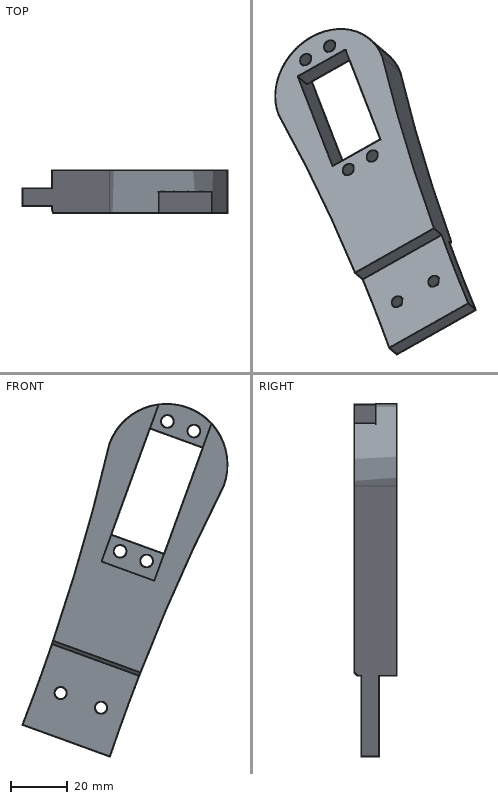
import cadquery as cq

TILT = 20.0
THICKNESS = 15.24

FOOT_WIDTH = 33.02
TENON_LENGTH = 30.48
TENON_THICKNESS = 6.35
FRONT_STEP = 2.54
SHOULDER_CHAMFER = 1.27
TENON_HOLE_DIAMETER = 4.2
TENON_HOLE_SPACING = 15.24
TENON_HOLE_HEIGHT = TENON_LENGTH / 2

HEAD_RADIUS = 21.63
HEAD_HEIGHT = 104.12
FLARE_BOW = 1.85

SERVO_WIDTH = 19.9
RECESS_BOTTOM = 64.0
RECESS_DEPTH = 7.62
WINDOW_LENGTH = 40.0
WINDOW_BOTTOM = 74.15
SERVO_HOLE_DIAMETER = 4.4
SERVO_HOLE_SPACING_ACROSS = 10.0
SERVO_HOLE_SPACING_ALONG = 49.0

FOOT_HALF_WIDTH = FOOT_WIDTH / 2
HEAD_TOP = HEAD_HEIGHT + HEAD_RADIUS
FLARE_MIDDLE_X = (FOOT_HALF_WIDTH + HEAD_RADIUS) / 2 - FLARE_BOW
FLARE_MIDDLE_Z = HEAD_HEIGHT / 2
CUT_WIDTH = 2 * HEAD_RADIUS
WINDOW_CENTER = WINDOW_BOTTOM + WINDOW_LENGTH / 2


def box(width, y_front, depth, z_bottom, height):
    """Block centred on the arm's width, from its front and bottom faces."""
    block = cq.Workplane("XY").box(width, depth, height, centered=(True, False, False))
    return block.translate((0, y_front, z_bottom))


def make_blank():
    """Full-thickness plate: flat foot, concave flaring sides and a round head."""
    return (
        cq.Workplane("XZ")
        .moveTo(-FOOT_HALF_WIDTH, 0)
        .lineTo(FOOT_HALF_WIDTH, 0)
        .threePointArc((FLARE_MIDDLE_X, FLARE_MIDDLE_Z), (HEAD_RADIUS, HEAD_HEIGHT))
        .threePointArc((0, HEAD_TOP), (-HEAD_RADIUS, HEAD_HEIGHT))
        .threePointArc((-FLARE_MIDDLE_X, FLARE_MIDDLE_Z), (-FOOT_HALF_WIDTH, 0))
        .close()
        .extrude(-THICKNESS)
    )


def tenon_steps():
    """Material removed in front of and behind the tenon, with a bevelled front shoulder."""
    tenon_back = FRONT_STEP + TENON_THICKNESS
    front = box(CUT_WIDTH, 0, FRONT_STEP, 0, TENON_LENGTH)
    back = box(CUT_WIDTH, tenon_back, THICKNESS - tenon_back, 0, TENON_LENGTH)
    bevel = (
        cq.Workplane("YZ")
        .moveTo(0, TENON_LENGTH)
        .lineTo(SHOULDER_CHAMFER, TENON_LENGTH)
        .lineTo(0, TENON_LENGTH + SHOULDER_CHAMFER)
        .close()
        .extrude(CUT_WIDTH / 2, both=True)
    )
    return front.union(back).union(bevel)


def servo_seat():
    """Material removed for the servo: the flange recess and the body window."""
    recess = box(SERVO_WIDTH, 0, RECESS_DEPTH, RECESS_BOTTOM, HEAD_TOP - RECESS_BOTTOM)
    window = box(SERVO_WIDTH, 0, THICKNESS, WINDOW_BOTTOM, WINDOW_LENGTH)
    return recess.union(window)


def hole_grid(diameter, center_z, spacing_across, rows_z):
    """Through holes in pairs across the width, one pair for each row offset."""
    points = []
    for row_z in rows_z:
        for side in (-1, 1):
            points.append((side * spacing_across / 2, center_z + row_z))
    return cq.Workplane("XZ").pushPoints(points).circle(diameter / 2).extrude(-THICKNESS)


servo_rows = (-SERVO_HOLE_SPACING_ALONG / 2, SERVO_HOLE_SPACING_ALONG / 2)
servo_holes = hole_grid(SERVO_HOLE_DIAMETER, WINDOW_CENTER, SERVO_HOLE_SPACING_ACROSS, servo_rows)
tenon_holes = hole_grid(TENON_HOLE_DIAMETER, TENON_HOLE_HEIGHT, TENON_HOLE_SPACING, (0,))

arm = make_blank().cut(tenon_steps())
arm = arm.cut(servo_seat()).cut(servo_holes).cut(tenon_holes)

result = arm.rotate((0, 0, 0), (0, 1, 0), TILT)